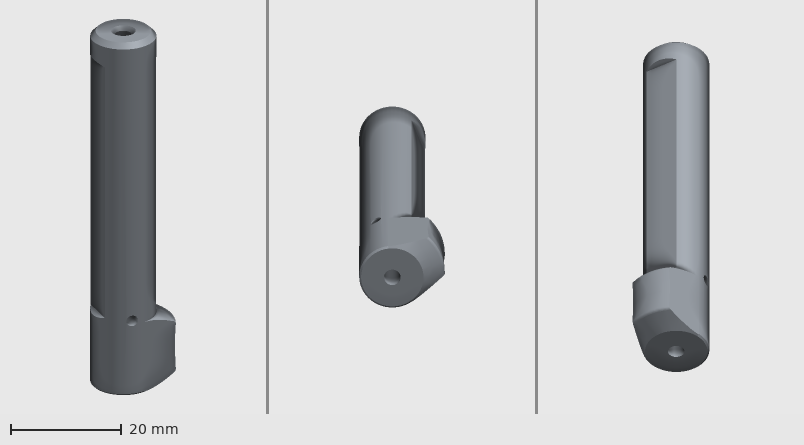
import cadquery as cq
import math

length = 70.0
shaft_diameter = 12.0
shaft_radius = shaft_diameter / 2
top_chamfer = 1.0
bottom_chamfer = 0.35

bore_diameter = 3.0
countersink_diameter = 4.5
countersink_angle = 90.0

flat_offset = 5.05
flat_bottom = 15.05
flat_top = 64.95
flat_end_slope = math.radians(30)

pin_hole_diameter = 2.1
pin_hole_y = -0.85
pin_hole_z = 14.85

lug_reach = 9.5
lug_side_angle = math.radians(15)
lug_cone_slope = math.radians(30)
lug_rim_bottom = 2.25
lug_rim_top = 12.05
lug_face_hollow = 0.2
lug_rim_fillet = 0.7


def make_shaft():
    shaft = cq.Workplane("XY").circle(shaft_radius).extrude(length)
    return shaft.faces(">Z").chamfer(top_chamfer).faces("<Z").chamfer(bottom_chamfer)


def make_lug():
    """A double cone with a hollowed face and rounded rims, trimmed to a tapering wedge."""
    foot_radius = lug_reach - lug_rim_bottom / math.tan(lug_cone_slope)
    neck_z = lug_rim_top + (lug_reach - shaft_radius) * math.tan(lug_cone_slope)
    double_cone = (
        cq.Workplane("XZ")
        .polyline([
            (0, 0),
            (foot_radius, 0),
            (lug_reach, lug_rim_bottom),
        ])
        .threePointArc(
            (lug_reach - lug_face_hollow, (lug_rim_bottom + lug_rim_top) / 2),
            (lug_reach, lug_rim_top),
        )
        .polyline([
            (shaft_radius, neck_z),
            (0, neck_z),
        ], includeCurrent=True)
        .close()
        .revolve(360, (0, 0, 0), (0, 1, 0))
    )
    rims = cq.selectors.RadiusNthSelector(-2)
    double_cone = double_cone.edges(rims).fillet(lug_rim_fillet)
    tangent_x = shaft_radius * math.cos(lug_side_angle)
    tangent_y = shaft_radius * math.sin(lug_side_angle)
    end_x = tangent_x - (lug_reach - tangent_y) * math.tan(lug_side_angle)
    wedge = (
        cq.Workplane("XY")
        .polyline([
            (-tangent_x, tangent_y),
            (tangent_x, tangent_y),
            (end_x, lug_reach),
            (-end_x, lug_reach),
        ])
        .close()
        .extrude(length)
    )
    return double_cone.intersect(wedge)


def make_flat_cutter(side):
    """Trapezoidal bar; side is -1 for the -Y flat and +1 for the +Y flat."""
    end_rise = (shaft_radius - flat_offset) * math.tan(flat_end_slope)
    return (
        cq.Workplane("YZ")
        .polyline([
            (side * flat_offset, flat_bottom),
            (side * shaft_radius, flat_bottom - end_rise),
            (side * shaft_radius, flat_top + end_rise),
            (side * flat_offset, flat_top),
        ])
        .close()
        .extrude(shaft_radius, both=True)
    )


def make_pin_hole():
    return (
        cq.Workplane("YZ")
        .center(pin_hole_y, pin_hole_z)
        .circle(pin_hole_diameter / 2)
        .extrude(shaft_radius, both=True)
    )


shaft = make_shaft()
for side in (-1, 1):
    shaft = shaft.cut(make_flat_cutter(side))

result = shaft.union(make_lug()).cut(make_pin_hole())
result = (
    result.faces(">Z")
    .workplane(origin=(0, 0, length))
    .cskHole(bore_diameter, countersink_diameter, countersink_angle)
)